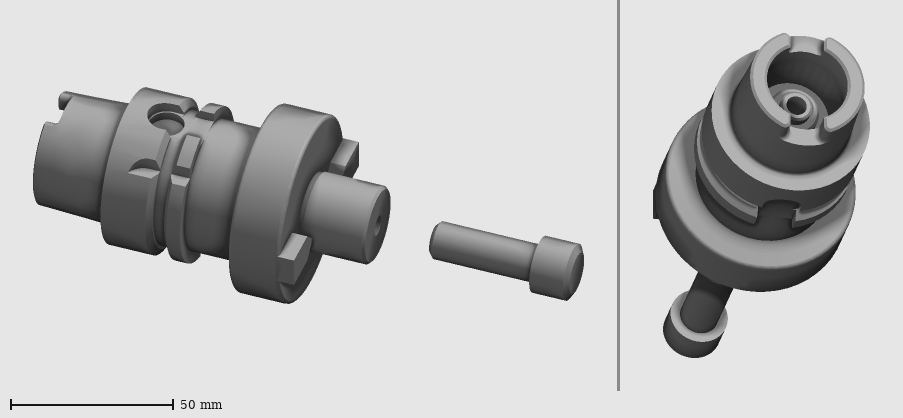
import cadquery as cq
import math


face_x = 25.0
taper_end_x = 22.9
taper_small_r = 18.0
taper_large_r = 19.0
end_chamfer_x = 0.5
end_chamfer_r = 0.9
land_r = 19.1
land_start_x = 23.4
land_fillet = 0.9

flange_r = 25.0
flange_end_x = 50.9
groove_r = 21.5
groove_start_x = 41.1
groove_end_x = 44.9
bevel_length = 1.5
bevel_bottom_r = 22.5

neck_r = 21.0
disc_r = 60.0 / 2
disc_start_x = 67.0
disc_end_x = 85.0
disc_cone_x = 1.5
disc_round = 1.2
pilot_r = 25.0 / 2
pilot_end_x = 106.8
pilot_chamfer = 0.9
relief_r = 24.3 / 2
relief_length = 1.0
relief_ramp = 0.7

bore_r = 25.5 / 2
bore_cone_x = 10.3
bore_floor_r = 11.7
bore_floor_x = 24.0
nozzle_base_r = 16.0 / 2
nozzle_base_x = 19.8
nozzle_base_chamfer = 0.9
nozzle_tip_r = 10.0 / 2
nozzle_tip_x = 16.3
nozzle_tip_chamfer = 0.7
coolant_hole_d = 6.4

drive_slot_width = 10.5
top_slot_depth = 4.6
bottom_slot_depth = 7.4
slot_corner_r = 1.5
lip_round = 1.9

keyway_width = 12.0
keyway_floor_z = 21.0
keyway_centre_x = 37.7
chip_hole_d = 11.0
chip_hole_floor_z = 18.0
notch_offset = 15.5

key_width = 10.0
key_end_x = 90.0
key_root_x = 83.2
key_outer_y = 29.4
key_shoulder_y = 17.4
key_nose_y = 12.5

screw_start_x = 125.2
screw_end_x = 172.0
shank_d = 12.0
tip_d = 9.1
tip_length = 1.4
head_d = 18.0
head_start_x = 159.6
head_chamfer_x = 1.4
head_chamfer_r = 2.4


def turned(points):
    """Solid of revolution about X from (x, radius) points."""
    return cq.Workplane("XY").polyline(points).close().revolve(360, (0, 0, 0), (1, 0, 0))


def turned_body():
    cone_end_x = disc_start_x + disc_cone_x
    land_end_x = face_x - land_fillet
    relief_end_x = disc_end_x + relief_length
    fillet_mid = land_fillet * math.sqrt(0.5)
    profile = (
        cq.Workplane("XY")
        .moveTo(0, 0)
        .lineTo(0, taper_small_r - end_chamfer_r)
        .lineTo(end_chamfer_x, taper_small_r)
        .lineTo(taper_end_x, taper_large_r)
        .lineTo(land_start_x, land_r)
        .lineTo(land_end_x, land_r)
        .threePointArc(
            (land_end_x + fillet_mid, land_r + land_fillet - fillet_mid),
            (face_x, land_r + land_fillet),
        )
        .lineTo(face_x, flange_r)
        .lineTo(groove_start_x - bevel_length, flange_r)
        .lineTo(groove_start_x, bevel_bottom_r)
        .lineTo(groove_start_x, groove_r)
        .lineTo(groove_end_x, groove_r)
        .lineTo(groove_end_x, bevel_bottom_r)
        .lineTo(groove_end_x + bevel_length, flange_r)
        .lineTo(flange_end_x, flange_r)
        .lineTo(flange_end_x, neck_r)
        .lineTo(disc_start_x, neck_r)
        .lineTo(cone_end_x, disc_r)
        .lineTo(disc_end_x, disc_r)
        .lineTo(disc_end_x, relief_r)
        .lineTo(relief_end_x, relief_r)
        .lineTo(relief_end_x + relief_ramp, pilot_r)
        .lineTo(pilot_end_x - pilot_chamfer, pilot_r)
        .lineTo(pilot_end_x, pilot_r - pilot_chamfer)
        .lineTo(pilot_end_x, 0)
        .close()
    )
    body = profile.revolve(360, (0, 0, 0), (1, 0, 0))
    rims = cq.selectors.RadiusNthSelector(-1)
    return body.edges("%CIRCLE").edges(rims).fillet(disc_round)


def bore():
    """Material removed from the hollow shank, leaving the stepped nozzle."""
    return turned([
        (0, 0),
        (0, bore_r + end_chamfer_r),
        (end_chamfer_x, bore_r),
        (bore_cone_x, bore_r),
        (bore_floor_x, bore_floor_r),
        (bore_floor_x, nozzle_base_r),
        (nozzle_base_x + nozzle_base_chamfer, nozzle_base_r),
        (nozzle_base_x, nozzle_base_r - nozzle_base_chamfer),
        (nozzle_base_x, nozzle_tip_r),
        (nozzle_tip_x + nozzle_tip_chamfer, nozzle_tip_r),
        (nozzle_tip_x, nozzle_tip_r - nozzle_tip_chamfer),
        (nozzle_tip_x, 0),
    ])


def coolant_hole():
    return cq.Workplane("YZ").circle(coolant_hole_d / 2).extrude(pilot_end_x)


def slot_outline(plane, widening):
    """Outline of a drive slot on the +Z side whose lips round over into the taper."""
    half_width = drive_slot_width / 2
    lip_y = half_width + lip_round
    lip_z = math.sqrt((taper_small_r - lip_round) ** 2 - lip_y ** 2)
    end_angle = math.atan2(lip_z, lip_y)
    mid_angle = (math.pi + end_angle) / 2
    radius = lip_round - widening
    wall_y = half_width + widening
    mid_y = lip_y + radius * math.cos(mid_angle)
    mid_z = lip_z + radius * math.sin(mid_angle)
    end_y = lip_y + radius * math.cos(end_angle)
    end_z = lip_z + radius * math.sin(end_angle)
    return (
        plane.moveTo(-wall_y, 0)
        .lineTo(wall_y, 0)
        .lineTo(wall_y, lip_z)
        .threePointArc((mid_y, mid_z), (end_y, end_z))
        .lineTo(end_y, flange_r)
        .lineTo(-end_y, flange_r)
        .lineTo(-end_y, end_z)
        .threePointArc((-mid_y, mid_z), (-wall_y, lip_z))
        .close()
    )


def drive_slot(depth):
    """Slot with rounded floor corners and a chamfered mouth at the open end."""
    slot = slot_outline(cq.Workplane("YZ"), 0).extrude(depth)
    slot = slot.faces(">X").edges("not |Y").fillet(slot_corner_r)
    mouth = slot_outline(cq.Workplane("YZ"), end_chamfer_r)
    mouth = slot_outline(mouth.workplane(offset=end_chamfer_x), 0).loft(ruled=True)
    return slot.union(mouth)


def flange_cut(centre_y, floor_z):
    """Round-ended cut above floor_z, open through the end of the flange."""
    height = flange_r - floor_z
    length = flange_end_x - keyway_centre_x
    plane = cq.Workplane("XY", origin=(keyway_centre_x, centre_y, floor_z))
    straight = plane.center(length / 2, 0).rect(length, keyway_width).extrude(height)
    return plane.circle(keyway_width / 2).extrude(height).union(straight)


def chip_hole():
    plane = cq.Workplane("XY", origin=(keyway_centre_x, 0, chip_hole_floor_z))
    return plane.circle(chip_hole_d / 2).extrude(flange_r - chip_hole_floor_z)


def drive_key():
    """Key on the +Y side, with a pointed nose against the pilot."""
    half_width = key_width / 2
    nose_half_width = half_width - (key_shoulder_y - key_nose_y)
    return (
        cq.Workplane("YZ", origin=(key_root_x, 0, 0))
        .polyline([
            (key_nose_y, nose_half_width),
            (key_shoulder_y, half_width),
            (key_outer_y, half_width),
            (key_outer_y, -half_width),
            (key_shoulder_y, -half_width),
            (key_nose_y, -nose_half_width),
        ])
        .close()
        .extrude(key_end_x - key_root_x)
    )


def make_holder():
    x_axis = ((0, 0, 0), (1, 0, 0))
    holder = turned_body().cut(bore()).cut(coolant_hole())
    holder = holder.cut(drive_slot(top_slot_depth))
    holder = holder.cut(drive_slot(bottom_slot_depth).rotate(*x_axis, 180))
    keyway = flange_cut(0, keyway_floor_z)
    holder = holder.cut(keyway).cut(keyway.rotate(*x_axis, 180))
    holder = holder.cut(flange_cut(-notch_offset - keyway_width / 2, notch_offset))
    holder = holder.cut(chip_hole())
    for angle in (0, 180):
        holder = holder.union(drive_key().rotate(*x_axis, angle))
    return holder


def make_screw():
    shank_r = shank_d / 2
    tip_end_x = screw_start_x + tip_length
    return turned([
        (screw_start_x, 0),
        (screw_start_x, tip_d / 2),
        (tip_end_x, shank_r),
        (head_start_x, shank_r),
        (head_start_x, head_d / 2),
        (screw_end_x - head_chamfer_x, head_d / 2),
        (screw_end_x, head_d / 2 - head_chamfer_r),
        (screw_end_x, 0),
    ])


holder = make_holder()
screw = make_screw()
result = cq.Compound.makeCompound([holder.val(), screw.val()])